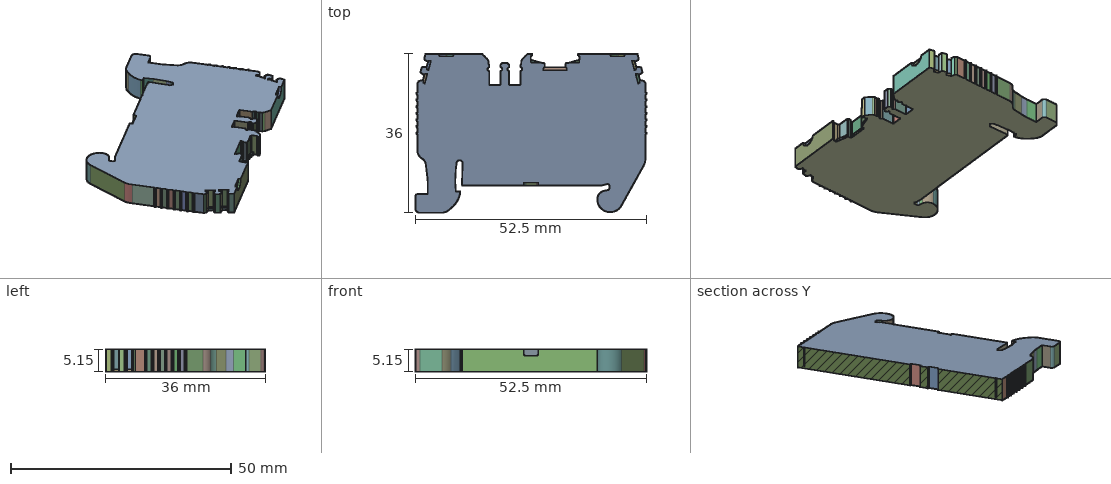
import cadquery as cq
import math

length = 52.5
height = 36.05
thickness = 5.15
ledge_z = 0.65

half_width = 25.85
rib_depth = 0.25
mid_x = length - half_width - rib_depth
left_wall = mid_x - half_width
right_wall = mid_x + half_width
base_y = 6.2
cut_margin = 0.5

tooth_count = 2
tooth_step = (-0.85, -3.0)
tooth = [(-24.05, height), (-24.35, 34.9), (-24.1, 34.6), (-23.45, 34.25), (-23.75, 33.15)]
notch_recess = [(-23.45, 34.25), (-23.25, 34.55), (-22.8, 34.55), (-23.35, 32.35), (-23.65, 32.55), (-23.75, 33.15)]
shoulder = [(-25.55, 29.9), (-half_width, 29.4)]

rib_count = 7
rib_top_y = 27.3
rib_span = 9.05
rib_pitch = rib_span / (rib_count - 1)
rib_lead = 0.05
rib_tip = 0.2
rib_height = 0.5

slot_mid_x = 20.3
slot_floor_y = 29.0
slot_corner = 0.1
post_top_y = 34.0

bay_mid_x = 31.7
bay_shelf_y = 34.0
bay_floor_y = 33.05
bay_recess_floor_y = 32.35

hook_center = (44.2, 3.1)
hook_radius = 2.95
hook_crown_radius = 2.0
crown_end_angle = math.radians(105)
flank_angle = math.radians(30)

top_pocket_mids = (7.05, 45.8)
top_pocket_radius = 1.6
top_pocket_flat = 0.3
top_pocket_depth = 0.5
top_pocket_draft = 22.0
base_pocket_mid = 26.25
base_pocket_width = 3.3
base_pocket_height = 1.5
base_pocket_depth = 0.7
base_pocket_radius = 0.45


def shifted(points, dx, dy):
    return [(x + dx, y + dy) for x, y in points]


def mirrored(points):
    """Reflect points across x = 0 and reverse them, so a path keeps running the same way."""
    return [(-x, y) for x, y in reversed(points)]


def prism(points, bottom_z, top_z):
    return cq.Workplane("XY", origin=(0, 0, bottom_z)).polyline(points).close().extrude(top_z - bottom_z)


def symmetric_cut(half, axis_x, bottom_z):
    """Cutter whose left half is given relative to its own axis."""
    return prism(shifted(half + mirrored(half), axis_x, 0), bottom_z, thickness + cut_margin)


def tooth_offsets():
    return [(tooth_step[0] * i, tooth_step[1] * i) for i in range(tooth_count)]


def make_body():
    """Plate with the latch teeth, the clamp foot on the left and the hook on the right."""
    comb = []
    for dx, dy in tooth_offsets():
        comb += shifted(tooth, dx, dy)
    comb += shoulder
    left_comb = shifted(comb, mid_x, 0)
    right_comb = shifted(mirrored(comb), mid_x, 0)

    def on_hook(angle, center=hook_center, radius=hook_radius):
        return (center[0] + radius * math.cos(angle), center[1] + radius * math.sin(angle))

    flank_end = on_hook(-flank_angle)
    hook_left = on_hook(math.pi)
    crown_center = (hook_left[0] + hook_crown_radius, hook_left[1])
    crown_mid = on_hook(math.radians(135), crown_center, hook_crown_radius)
    crown_top = on_hook(crown_end_angle, crown_center, hook_crown_radius)

    return (
        cq.Workplane("XY")
        .polyline(left_comb[::-1] + right_comb[::-1])
        .lineTo(right_wall, 12.7)
        .threePointArc((52.1, 11.55), (51.85, 10.8))
        .lineTo(*flank_end)
        .threePointArc(on_hook(math.radians(-110)), hook_left)
        .threePointArc(crown_mid, crown_top)
        .lineTo(43.55, 5.2)
        .threePointArc((43.8, 5.3), (44.0, 5.55))
        .lineTo(44.0, 6.15)
        .threePointArc((43.8, 6.45), (43.45, 6.5))
        .lineTo(42.2, base_y)
        .lineTo(10.7, base_y)
        .lineTo(10.55, 6.4)
        .lineTo(10.7, 11.25)
        .threePointArc((10.1, 11.9), (9.4, 11.25))
        .lineTo(9.25, 10.15)
        .lineTo(9.1, 7.05)
        .lineTo(9.25, 4.9)
        .lineTo(10.25, 4.9)
        .lineTo(10.2, 4.35)
        .threePointArc((9.4, 2.45), (8.05, 1.0))
        .threePointArc((7.15, 0.3), (6.05, 0))
        .lineTo(1.0, 0)
        .threePointArc((0.3, 0.3), (0, 1.0))
        .lineTo(0, 3.65)
        .threePointArc((0.2, 4.15), (0.7, 4.35))
        .lineTo(2.8, 4.35)
        .lineTo(2.8, 7.2)
        .threePointArc((2.75, 8.05), (2.6, 8.85))
        .lineTo(2.35, 11.05)
        .threePointArc((2.05, 11.8), (1.4, 12.4))
        .threePointArc((0.75, 13.1), (left_wall, 14.05))
        .close()
        .extrude(thickness)
    )


def make_ribs():
    """Saw-tooth ribs: nearly flat on top, sloping back into the wall underneath."""
    profile = [
        (-half_width + cut_margin, 0),
        (-half_width, 0),
        (-half_width - rib_depth, -rib_lead),
        (-half_width - rib_depth, -rib_lead - rib_tip),
        (-half_width, -rib_height),
        (-half_width + cut_margin, -rib_height),
    ]
    ribs = cq.Workplane("XY")
    for i in range(rib_count):
        rib = shifted(profile, 0, rib_top_y - i * rib_pitch)
        ribs = ribs.union(prism(shifted(rib, mid_x, 0), 0, thickness))
        ribs = ribs.union(prism(shifted(mirrored(rib), mid_x, 0), 0, thickness))
    return ribs


def make_notch_recesses():
    """Recesses that deepen the latch notches above the thin web."""
    recesses = cq.Workplane("XY")
    for dx, dy in tooth_offsets():
        recess = shifted(notch_recess, dx, dy)
        for side in (recess, mirrored(recess)):
            recesses = recesses.union(prism(shifted(side, mid_x, 0), ledge_z, thickness + cut_margin))
    return recesses


def make_bridge_slots():
    """Two slots with snap grooves, a flared mouth and a low post left between them."""
    mouth = [(-5.15, height + cut_margin), (-5.15, height)]
    wall = [
        (-3.95, 34.85), (-3.65, 34.4), (-3.65, 33.75), (-3.5, 33.55), (-3.5, 33.15),
        (-3.9, 32.75), (-3.9, 32.45), (-3.5, 32.1),
        (-3.5, slot_floor_y + slot_corner), (-3.5 + slot_corner, slot_floor_y),
    ]
    post = [
        (-1.0 - slot_corner, slot_floor_y), (-1.0, slot_floor_y + slot_corner),
        (-1.0, 32.1), (-0.65, 32.45), (-0.65, 32.75), (-1.05, 33.15), (-1.05, 33.55), (-0.6, post_top_y),
    ]
    return symmetric_cut(mouth + wall + post, slot_mid_x, -cut_margin)


def make_marker_bay():
    """Open bay with undercut ends, deepened above the thin web."""
    through = [
        (-5.2, height + cut_margin), (-5.2, height), (-5.15, 35.8), (-5.5, 35.4), (-5.5, 34.75),
        (-3.1, 34.05), (-2.5, bay_shelf_y), (-2.3, 33.75), (-2.3, bay_floor_y),
    ]
    recess = [
        (-5.5, 34.9), (-5.5, 34.25), (-5.25, bay_shelf_y), (-2.5, bay_shelf_y), (-2.3, 33.75),
        (-2.3, 33.15), (-2.7, 32.75), (-2.7, bay_recess_floor_y),
    ]
    return symmetric_cut(through, bay_mid_x, -cut_margin).union(symmetric_cut(recess, bay_mid_x, ledge_z))


def make_top_pocket(x):
    """Round-bottomed pry pocket that narrows inward from the top edge."""
    half_flat = top_pocket_flat / 2
    half_mouth = half_flat + top_pocket_radius
    floor_z = thickness - top_pocket_radius
    bend = top_pocket_radius * math.sin(math.radians(45))
    return (
        cq.Workplane("XZ", origin=(x, height, 0))
        .moveTo(-half_mouth, thickness + cut_margin)
        .lineTo(-half_mouth, thickness)
        .threePointArc((-half_flat - bend, thickness - bend), (-half_flat, floor_z))
        .lineTo(half_flat, floor_z)
        .threePointArc((half_flat + bend, thickness - bend), (half_mouth, thickness))
        .lineTo(half_mouth, thickness + cut_margin)
        .close()
        .extrude(top_pocket_depth, taper=top_pocket_draft)
    )


def make_base_pocket():
    """Pry pocket in the lower edge with rounded bottom corners."""
    pocket_top = thickness + cut_margin
    return (
        cq.Workplane("XY", origin=(base_pocket_mid, base_y, thickness - base_pocket_height))
        .rect(base_pocket_width, 2 * base_pocket_depth)
        .extrude(pocket_top - thickness + base_pocket_height)
        .edges("|Y and <Z")
        .fillet(base_pocket_radius)
    )


result = make_body().union(make_ribs())
result = result.cut(make_notch_recesses())
result = result.cut(make_bridge_slots())
result = result.cut(make_marker_bay())
for pocket_x in top_pocket_mids:
    result = result.cut(make_top_pocket(pocket_x))
result = result.cut(make_base_pocket())